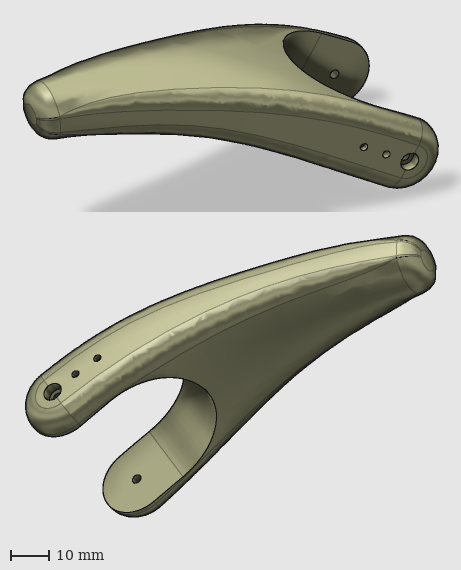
import cadquery as cq
import math

arm_tilt = 30.0
arm_straight_length = 10.0
arm_half_height = 10.0
arm_half_width = 26.2
edge_radius = 5.0
arm_flat = arm_half_height - edge_radius

spine_radius = 157.0
tip_reach = 96.5
nose_radius = 5.0
nose_start_angle = 5.0
nose_section_count = 5

opening_radius = 20.0
opening_center_distance = 10.0

pivot_hole_diameter = 2.5
counterbore_diameter = 5.0
counterbore_depth = 3.0
pin_hole_diameter = 2.0
pin_hole_depth = 3.0
pin_hole_distances = (7.5, 14.5)

cut_margin = 20.0

tilt_radians = math.radians(arm_tilt)
arm_direction = cq.Vector(0, -math.cos(tilt_radians), math.sin(tilt_radians))
arm_normal = cq.Vector(0, -math.sin(tilt_radians), -math.cos(tilt_radians))
spine_center_y = -arm_straight_length * math.cos(tilt_radians) - spine_radius * math.sin(tilt_radians)
spine_center_z = arm_straight_length * math.sin(tilt_radians) - spine_radius * math.cos(tilt_radians)
nose_length = nose_radius * (1 - math.sin(math.radians(nose_start_angle)))
nose_start_y = nose_length - tip_reach
nose_tilt = math.degrees(math.asin((nose_start_y - spine_center_y) / spine_radius))

body_sections = (
    (arm_tilt, 25.45, arm_half_height, arm_flat, edge_radius),
    (22.0, 22.15, 9.5, 4.2, edge_radius),
    (14.0, 17.45, 9.3, 2.7, edge_radius),
    (6.0, 12.9, 8.6, 2.2, 4.5),
    (nose_tilt, 8.4, 7.6, 2.1, 1.3),
)


def section_wire(plane, half_width, half_height, flat, corner):
    """Closed outline: flat sides, round corners and a crown, each tangent to the next."""
    across = half_width - corner
    crown = half_height - flat - corner
    corner_end = math.pi / 2 - 2 * math.atan2(crown, across)
    corner_middle = corner_end / 2

    def corner_point(angle):
        return across + corner * math.cos(angle), flat + corner * math.sin(angle)

    mid_x, mid_y = corner_point(corner_middle)
    end_x, end_y = corner_point(corner_end)
    outline = (
        cq.Workplane(plane)
        .moveTo(half_width, -flat)
        .lineTo(half_width, flat)
        .threePointArc((mid_x, mid_y), (end_x, end_y))
    )
    if crown > 0:
        outline = outline.threePointArc((0, half_height), (-end_x, end_y))
    else:
        outline = outline.lineTo(-end_x, end_y)
    outline = (
        outline.threePointArc((-mid_x, mid_y), (-half_width, flat))
        .lineTo(-half_width, -flat)
        .threePointArc((-mid_x, -mid_y), (-end_x, -end_y))
    )
    if crown > 0:
        outline = outline.threePointArc((0, -half_height), (end_x, -end_y))
    else:
        outline = outline.lineTo(end_x, -end_y)
    return outline.threePointArc((mid_x, -mid_y), (half_width, -flat)).close().val()


def spine_plane(tilt):
    """Plane square to the spine arc where its slope is `tilt` degrees."""
    angle = math.radians(tilt)
    origin = (
        0,
        spine_center_y + spine_radius * math.sin(angle),
        spine_center_z + spine_radius * math.cos(angle),
    )
    return cq.Plane(origin, (1, 0, 0), (0, -math.cos(angle), math.sin(angle)))


def arm_plane(distance):
    """Plane square to the straight arms, `distance` from the pivot axis."""
    return cq.Plane(arm_direction * distance, (1, 0, 0), arm_direction)


def make_body():
    sections = [section_wire(arm_plane(0), arm_half_width, arm_half_height, arm_flat, edge_radius)]
    for tilt, *sizes in body_sections:
        sections.append(section_wire(spine_plane(tilt), *sizes))
    return cq.Workplane(cq.Solid.makeLoft(sections))


def make_nose():
    """Rounded tip: sections that shrink along a circular arc to a small flat face."""
    tilt, half_width, half_height, flat, corner = body_sections[-1]
    base = spine_plane(tilt)
    start = math.radians(nose_start_angle)
    sections = []
    for index in range(nose_section_count):
        angle = start + (math.pi / 2 - start) * index / (nose_section_count - 1)
        inset = nose_radius * (math.cos(start) - math.cos(angle))
        depth = nose_radius * (math.sin(angle) - math.sin(start))
        shrink = (half_height - inset) / half_height
        plane = cq.Plane(base.origin + base.zDir * depth, base.xDir, base.zDir)
        sections.append(
            section_wire(plane, half_width - inset, half_height - inset, flat * shrink, corner * shrink)
        )
    return cq.Workplane(cq.Solid.makeLoft(sections))


def make_arm_end():
    """Rounded end of the arms, turned about the pivot axis."""
    inner = arm_half_width - edge_radius
    profile = (
        cq.Workplane(arm_plane(0))
        .moveTo(-arm_half_width, 0)
        .lineTo(arm_half_width, 0)
        .lineTo(arm_half_width, arm_flat)
        .radiusArc((inner, arm_half_height), -edge_radius)
        .lineTo(-inner, arm_half_height)
        .radiusArc((-arm_half_width, arm_flat), -edge_radius)
        .close()
    )
    return profile.revolve(180, (0, 0, 0), (-1, 0, 0))


def make_opening():
    plane = cq.Plane((0, 0, 0), (1, 0, 0), arm_normal)
    open_end = -(arm_half_height + cut_margin)
    outline = (
        cq.Workplane(plane)
        .moveTo(opening_radius, open_end)
        .lineTo(opening_radius, opening_center_distance)
        .threePointArc(
            (0, opening_center_distance + opening_radius),
            (-opening_radius, opening_center_distance),
        )
        .lineTo(-opening_radius, open_end)
        .close()
    )
    return outline.extrude(arm_half_height + cut_margin, both=True)


def cylinder_along_x(diameter, start_x, end_x, distance):
    """Cylinder along X between two X values, at a distance from the pivot along the arm."""
    start = arm_direction * distance + cq.Vector(start_x, 0, 0)
    return cq.Workplane(cq.Solid.makeCylinder(diameter / 2, end_x - start_x, start, cq.Vector(1, 0, 0)))


def make_holes():
    outside = arm_half_width + cut_margin
    holes = cylinder_along_x(pivot_hole_diameter, -outside, outside, 0)
    counterbore_floor = arm_half_width - counterbore_depth
    pin_hole_floor = arm_half_width - pin_hole_depth
    one_side = cylinder_along_x(counterbore_diameter, counterbore_floor, outside, 0)
    for distance in pin_hole_distances:
        one_side = one_side.union(cylinder_along_x(pin_hole_diameter, pin_hole_floor, outside, distance))
    return holes.union(one_side).union(one_side.mirror("YZ"))


result = make_body().union(make_nose()).union(make_arm_end()).cut(make_opening()).cut(make_holes())